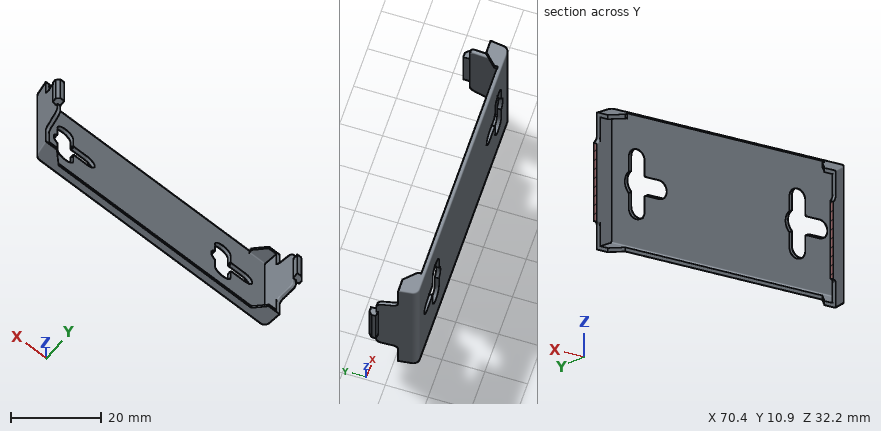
import cadquery as cq
import math

overall_width = 70.41
overall_depth = 10.87
height = 32.17

wall = 1.0
lean = math.tan(math.radians(7.5))
front_corner_x = 32.9
bend_radius = 1.55
edge_round = 0.3

flange_depth = 4.5
gusset_end_x = 30.33
lip_depth = 1.75

tab_depth = 9.4
tab_root_half = 9.3
tab_tip_half = 8.55
tab_root_radius = 1.3
tab_tip_radius = 1.5

hook_root_half = 5.2
hook_tip_half = 5.05
hook_inner_x = 33.3
hook_crest_x = 34.45
hook_chamfer_depth = 0.75
hook_base_depth = 9.15
hook_catch_drop = 0.2

slot_spacing = 45.0
slot_center_x = 2.5
slot_width = 4.4
slot_half_length = 8.2
slot_side_reach = 8.4
screw_head_radius = 3.3

half_width = overall_width / 2
half_height = height / 2
hook_root_depth = hook_base_depth - hook_catch_drop
lip_end_x = gusset_end_x - (flange_depth - lip_depth)
inner_corner_x = front_corner_x - wall * math.hypot(1, lean)


def outer_x(y):
    """Outer face of the right side wall at depth y."""
    return front_corner_x + lean * y


def inner_x(y):
    """Inner face of the right side wall at depth y."""
    return inner_corner_x + lean * y


def prism(points, z_low, z_high):
    """Extrude an XY outline between two heights."""
    return cq.Workplane("XY").workplane(offset=z_low).polyline(points).close().extrude(z_high - z_low)


def trapezoid(x_at, y_front, y_back):
    """Symmetric outline following a side wall face between two depths."""
    return [
        (-x_at(y_front), y_front),
        (x_at(y_front), y_front),
        (x_at(y_back), y_back),
        (-x_at(y_back), y_back),
    ]


def mirrored_pair(right_side):
    """A right side feature together with its mirror image on the left."""
    return right_side.union(right_side.mirror("YZ"))


def make_shell():
    """Bent plate with leaning side walls and closed ends, rounded along its outer end edges."""
    shell = prism(trapezoid(outer_x, 0, flange_depth), -half_height, half_height)
    shell = shell.edges("|Z and <Y").fillet(bend_radius)
    front_and_side_edges = cq.selectors.BoxSelector(
        (-half_width, -edge_round, -height), (half_width, flange_depth - edge_round, height)
    )
    return shell.faces("<Z or >Z").edges(front_and_side_edges).fillet(edge_round)


def make_cavity():
    """Space behind the plate, between the side walls and the end walls."""
    inner_half_height = half_height - wall
    cavity = prism(trapezoid(inner_x, wall, overall_depth), -inner_half_height, inner_half_height)
    return cavity.faces("<Y").edges("|X").fillet(edge_round)


def make_end_opening():
    """Opening through both end walls, with 45 degree sides that leave a gusset in each corner."""
    section = [
        (-lip_end_x, lip_depth),
        (lip_end_x, lip_depth),
        (gusset_end_x, flange_depth),
        (-gusset_end_x, flange_depth),
    ]
    return prism(section, -half_height, half_height)


def make_top_relief():
    """Removes the top lip between the gussets, down to the back of the plate."""
    section = [(-lip_end_x, wall), (lip_end_x, wall), (lip_end_x, lip_depth), (-lip_end_x, lip_depth)]
    return prism(section, 0, half_height)


def round_corners(outline, depth, half, radius):
    """Round the two X-parallel corners of a side outline found at (depth, -half) and (depth, half)."""
    for z in (-half, half):
        corner = cq.selectors.NearestToPointSelector((half_width / 2, depth, z))
        outline = outline.edges("|X").edges(corner).fillet(radius)
    return outline


def make_tab():
    """Latch tab that continues the right side wall, with its inner edges rounded."""
    root_depth = flange_depth - tab_root_radius
    root_half = half_height - wall
    side_outline = [
        (root_depth, -root_half),
        (flange_depth, -root_half),
        (flange_depth, -tab_root_half),
        (tab_depth, -tab_tip_half),
        (tab_depth, tab_tip_half),
        (flange_depth, tab_root_half),
        (flange_depth, root_half),
        (root_depth, root_half),
    ]
    outline = cq.Workplane("YZ").polyline(side_outline).close().extrude(half_width)
    outline = round_corners(outline, flange_depth, tab_root_half, tab_root_radius)
    outline = round_corners(outline, tab_depth, tab_tip_half, tab_tip_radius)
    wall_section = [
        (inner_x(root_depth), root_depth),
        (outer_x(root_depth), root_depth),
        (outer_x(tab_depth), tab_depth),
        (inner_x(tab_depth), tab_depth),
    ]
    tab = outline.intersect(prism(wall_section, -half_height, half_height))
    tab_edges = cq.selectors.BoxSelector(
        (0, flange_depth + edge_round, -tab_root_half), (half_width, overall_depth, tab_root_half)
    )
    return tab.faces("<X").edges(tab_edges).fillet(edge_round)


def make_hook():
    """Latch hook on the right tab tip, with lead-in chamfer, sloping catch face and tapered ends."""
    section = [
        (hook_inner_x, hook_root_depth),
        (outer_x(hook_root_depth), hook_root_depth),
        (half_width, hook_base_depth),
        (half_width, overall_depth - hook_chamfer_depth),
        (hook_crest_x, overall_depth),
        (hook_inner_x, overall_depth),
    ]
    tapered_ends = [
        (hook_root_depth, -hook_root_half),
        (overall_depth, -hook_tip_half),
        (overall_depth, hook_tip_half),
        (hook_root_depth, hook_root_half),
    ]
    side_outline = cq.Workplane("YZ").polyline(tapered_ends).close().extrude(half_width)
    return prism(section, -hook_root_half, hook_root_half).intersect(side_outline)


def make_mounting_opening(center_x):
    """Keyhole opening: screw head circle with slots going up, down and to -X."""
    radius = slot_width / 2
    plane = cq.Workplane("XZ", origin=(center_x, wall, 0))
    upright = plane.slot2D(2 * slot_half_length, slot_width, 90).extrude(wall)
    sideways = plane.center(-(slot_side_reach - radius) / 2, 0)
    sideways = sideways.slot2D(slot_side_reach + radius, slot_width).extrude(wall)
    head = plane.circle(screw_head_radius).extrude(wall)
    return upright.union(sideways).union(head)


result = make_shell().cut(make_cavity())
result = result.cut(make_end_opening()).cut(make_top_relief())
result = result.union(mirrored_pair(make_tab()))
result = result.union(mirrored_pair(make_hook()))
for side in (-1, 1):
    result = result.cut(make_mounting_opening(slot_center_x + side * slot_spacing / 2))